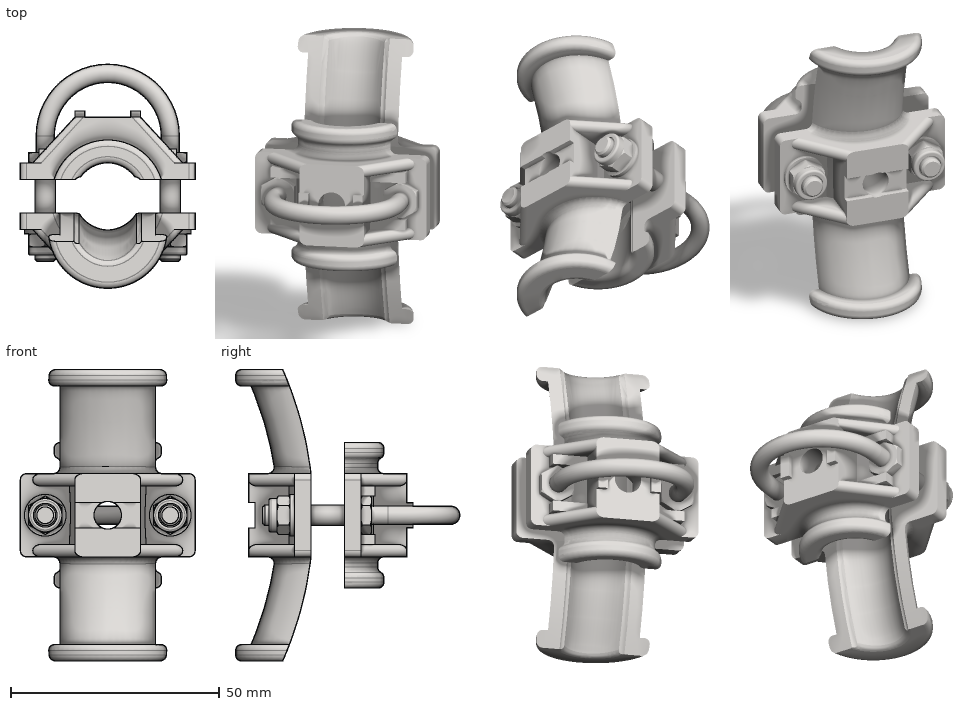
import cadquery as cq
import math

plate_width = 42.0
plate_thickness = 4.0
body_height = 20.0
half_height = body_height / 2
plate_corner_radius = 1.5
half_gap = 4.0
plate_back = half_gap + plate_thickness
body_back = 19.0
flank_foot = 18.0
core_half_width = 7.87
rib_thickness = 3.0
rib_round = rib_thickness / 2
pocket_half_height = half_height - rib_thickness
cross_hole_diameter = 6.6
nut_pocket_width = 10.0
nut_pocket_floor = 13.0

key_depth = 1.5
key_height = 6.0
groove_clearance = 0.1
pad_width = 2.4

bore_radius = 8.0
tube_radius = 12.0
hub_length = 35.0
hub_flange_radius = 13.5
hub_flange_thickness = 4.0
hub_blend = 1.5
mating_edge_round = 1.5

bend_radius = 90.0
tube_length = 70.0
end_flange_radius = 14.3
end_flange_thickness = 4.0
end_flange_center = -7.81
flange_edge_round = 1.5
trim_radius = math.hypot(bend_radius - half_gap, half_height)

bolt_spacing = 30.0
shank_radius = 2.2
thread_radius = 2.5
bow_center = 14.5
bolt_end = -15.6
bolt_end_chamfer = 0.5
nut_width = 8.0
nut_corner_diameter = nut_width / math.cos(math.pi / 6)
nut_chamfer_height = 0.3
nut_chamfer_depth = 0.45
jam_nut_height = 2.5
washer_radius = 5.0
washer_thickness = 1.0
lock_nut_height = 3.15
collar_radius = 4.0
collar_height = 2.0
collar_round = 0.5
collar_mouth_radius = 2.85
collar_mouth_depth = 0.5
shoulder_reach = 16.5
shoulder_height = 3.37
shoulder_slot_height = 9.2

FAR = 200.0


def block(x0, x1, y0, y1, z0, z1):
    """Box between two corners."""
    return cq.Workplane("XY").box(x1 - x0, y1 - y0, z1 - z0, centered=False).translate((x0, y0, z0))


def rod_y(radius, y0, y1, x=0.0):
    """Cylinder along Y from y0 to y1."""
    return cq.Workplane(cq.Plane((x, y0, 0), (1, 0, 0), (0, 1, 0))).circle(radius).extrude(y1 - y0)


def hexagon_y(x, y0, corner_diameter, length):
    """Hexagonal prism along Y with flats facing +X and -X."""
    plane = cq.Plane((x, y0, 0), (0, 0, 1), (0, 1, 0))
    return cq.Workplane(plane).polygon(6, corner_diameter).extrude(length)


def hex_nut(x, y0, height):
    """Hexagon along Y with chamfered corners, flats facing +X and -X."""
    hexagon = hexagon_y(x, y0, nut_corner_diameter, height)
    barrel = rod_y(nut_corner_diameter / 2, y0, y0 + height, x)
    barrel = barrel.faces("<Y or >Y").edges().chamfer(nut_chamfer_height, nut_chamfer_depth)
    return hexagon.intersect(barrel)


def flank_pocket():
    """Cutter between the ribs on the +X flank; it also rounds the inner rib edges."""
    run = flank_foot - core_half_width
    rise = body_back - plate_back
    flank_length = math.hypot(run, rise)
    along = (-run / flank_length, rise / flank_length, 0)
    outward = (rise / flank_length, run / flank_length, 0)
    start = (flank_foot - along[0] * flank_length, plate_back - along[1] * flank_length, 0)
    rib_middle = half_height - rib_round
    mid = rib_round * math.sqrt(0.5)
    profile = (
        cq.Workplane(cq.Plane(start, outward, along))
        .moveTo(-flank_length, -pocket_half_height)
        .lineTo(-rib_round, -pocket_half_height)
        .threePointArc((-rib_round + mid, -rib_middle + mid), (0, -rib_middle))
        .lineTo(flank_length, -rib_middle)
        .lineTo(flank_length, rib_middle)
        .lineTo(0, rib_middle)
        .threePointArc((-rib_round + mid, rib_middle - mid), (-rib_round, pocket_half_height))
        .lineTo(-flank_length, pocket_half_height)
        .close()
        .extrude(3 * flank_length)
    )
    limits = block(core_half_width, FAR, plate_back, FAR, -FAR, FAR)
    return profile.intersect(limits)


def clamp_body(inner_face):
    """Plate and ribbed trapezoid on the +Y side, starting at Y = inner_face."""
    plate = block(-plate_width / 2, plate_width / 2, inner_face, plate_back, -half_height, half_height)
    plate = plate.edges("|Y").fillet(plate_corner_radius)
    outline = [
        (-flank_foot, plate_back),
        (flank_foot, plate_back),
        (core_half_width, body_back),
        (-core_half_width, body_back),
    ]
    trapezoid = (
        cq.Workplane("XY")
        .polyline(outline)
        .close()
        .extrude(half_height, both=True)
    )
    trapezoid = trapezoid.edges("not(|Z or |X)").fillet(rib_round)
    pocket = flank_pocket()
    trapezoid = trapezoid.cut(pocket).cut(pocket.mirror("YZ"))
    return plate.union(trapezoid)


def upper_hub():
    """Short flanged sleeve around the Z axis, blended into the body ends."""
    rim = hub_flange_radius - tube_radius
    rim_bottom = hub_length / 2 - hub_flange_thickness + rim
    neck_drop = math.sqrt(3) * rim
    profile = (
        cq.Workplane("XZ")
        .lineTo(hub_flange_radius, 0)
        .lineTo(hub_flange_radius, half_height)
        .radiusArc((tube_radius, half_height + hub_blend), hub_blend)
        .lineTo(tube_radius, rim_bottom - neck_drop)
        .radiusArc((tube_radius + rim / 2, rim_bottom - neck_drop / 2), rim)
        .radiusArc((hub_flange_radius, rim_bottom), -rim)
        .lineTo(hub_flange_radius, hub_length / 2 - rim)
        .radiusArc((tube_radius, hub_length / 2), -rim)
        .lineTo(0, hub_length / 2)
        .close()
        .revolve(360, (0, 0, 0), (0, 1, 0))
    )
    return profile.union(profile.mirror("XY"))


def bore_edge_flare(face_height):
    """Section across the bore that rounds both bore edges on a mating face at Y = face_height."""
    reach = bore_radius + mating_edge_round
    center_y = face_height + mating_edge_round
    center_x = math.sqrt(reach**2 - center_y**2)
    bore_x = center_x * bore_radius / reach
    bore_y = center_y * bore_radius / reach
    return (
        cq.Workplane("XY")
        .moveTo(-center_x, 0)
        .lineTo(-center_x, face_height)
        .radiusArc((-bore_x, bore_y), mating_edge_round)
        .lineTo(bore_x, bore_y)
        .radiusArc((center_x, face_height), mating_edge_round)
        .lineTo(center_x, 0)
        .close()
    )


def upper_clamp():
    """Body on the +Y side with its hub, nut shoulders and key pads."""
    body = clamp_body(half_gap)
    shoulders = block(-shoulder_reach, shoulder_reach, plate_back, plate_back + shoulder_height,
                      -pocket_half_height, pocket_half_height)
    slot_half = shoulder_slot_height / 2
    for x0, x1 in ((-FAR, -core_half_width), (core_half_width, FAR)):
        shoulders = shoulders.cut(block(x0, x1, plate_back, FAR, -slot_half, slot_half))
    body = body.union(shoulders)
    bore = cq.Workplane("XY").circle(bore_radius).extrude(FAR, both=True)
    hub = upper_hub().cut(bore).faces("<Z or >Z")
    hub = hub.edges(cq.selectors.RadiusNthSelector(0)).fillet(hub_blend)
    hub = hub.intersect(block(-FAR, FAR, half_gap, FAR, -FAR, FAR))
    body = body.cut(bore).union(hub)
    body = body.cut(bore_edge_flare(half_gap).extrude(FAR, both=True))
    for x0 in (-core_half_width, core_half_width - pad_width):
        body = body.union(block(x0, x0 + pad_width, body_back, body_back + key_depth,
                                -key_height / 2, key_height / 2))
    pocket = hexagon_y(0, 0, nut_pocket_width / math.cos(math.pi / 6), nut_pocket_floor)
    return body.cut(pocket).cut(rod_y(cross_hole_diameter / 2, 0, FAR))


def bent_bar(radius):
    """Round bar along Z, bent to an arc whose centre lies on the -Y side."""
    return (
        cq.Workplane("XY")
        .circle(radius)
        .revolve(360, (0, -bend_radius, 0), (1, -bend_radius, 0))
        .intersect(block(-FAR, FAR, -bend_radius / 2, FAR, -FAR, FAR))
    )


def lower_clamp():
    """Body on the -Y side with the bent half tube and its end flanges."""
    body = clamp_body(-2 * tube_radius).mirror("XZ")
    half_length = tube_length / 2
    flange_start = half_length - end_flange_thickness
    tube_reach = half_length - end_flange_thickness / 2
    tube = bent_bar(tube_radius).intersect(block(-FAR, FAR, -FAR, FAR, -tube_reach, tube_reach))
    body = body.union(tube)
    ring = 2 * tube_radius + hub_blend
    for side in (-1, 1):
        z = side * half_height
        around = cq.selectors.BoxSelector((-ring / 2, -ring, z - 0.1), (ring / 2, ring / 2, z + 0.1))
        joint = body.edges(around).edges("not(%LINE)")
        body = joint.fillet(hub_blend)
    for start in (-half_length, flange_start):
        flange = (
            cq.Workplane("XY", origin=(0, end_flange_center, start))
            .circle(end_flange_radius)
            .extrude(end_flange_thickness)
            .faces("<Z or >Z")
            .edges()
            .fillet(flange_edge_round)
        )
        body = body.union(flange)
    body = body.cut(bent_bar(bore_radius))
    for end in ("<Z", ">Z"):
        mouth = body.faces(end).edges("not(%CIRCLE)")
        body = mouth.fillet(flange_edge_round)
    trim = (
        cq.Workplane("YZ", origin=(0, -bend_radius, 0))
        .circle(trim_radius)
        .extrude(FAR, both=True)
        .intersect(block(-FAR, FAR, -bend_radius, -half_gap, -FAR, FAR))
    )
    body = body.intersect(trim)
    flare = bore_edge_flare(bend_radius - trim_radius)
    flare = flare.revolve(360, (0, bend_radius, 0), (1, bend_radius, 0)).mirror("XZ")
    body = body.cut(flare.intersect(block(-FAR, FAR, -bend_radius / 2, 0, -FAR, FAR)))
    groove = key_height / 2 + groove_clearance / 2
    body = body.cut(block(-FAR, FAR, -FAR, -body_back + key_depth, -groove, groove).intersect(
        block(-core_half_width, core_half_width, -body_back, FAR, -FAR, FAR)))
    return body.cut(rod_y(cross_hole_diameter / 2, -FAR, 0))


def u_bolt():
    """Bow on the +Y side with two legs running through both plates."""
    bow = (
        cq.Workplane("XZ", origin=(0, bow_center, 0))
        .center(bolt_spacing / 2, 0)
        .circle(shank_radius)
        .revolve(180, (-bolt_spacing / 2, 0, 0), (-bolt_spacing / 2, 1, 0))
    )
    if bow.val().Center().y < bow_center:
        bow = bow.mirror("XZ", (0, bow_center, 0))
    for x in (-bolt_spacing / 2, bolt_spacing / 2):
        thread = rod_y(thread_radius, bolt_end, plate_back, x).faces("<Y").edges().chamfer(bolt_end_chamfer)
        bow = bow.union(rod_y(shank_radius, plate_back, bow_center, x)).union(thread)
    return bow


def fasteners(x):
    """Jam nut on the upper plate; washer and collared lock nut under the lower plate."""
    jam_nut = hex_nut(x, plate_back, jam_nut_height)
    washer_face = -plate_back - washer_thickness
    nut_face = washer_face - lock_nut_height
    collar_face = nut_face - collar_height
    washer = rod_y(washer_radius, washer_face, -plate_back, x)
    lock_nut = hex_nut(x, nut_face, lock_nut_height)
    collar = rod_y(collar_radius, collar_face, nut_face, x).faces("<Y").edges().fillet(collar_round)
    collar = collar.cut(rod_y(collar_mouth_radius, collar_face, collar_face + collar_mouth_depth, x))
    return jam_nut.union(washer).union(lock_nut).union(collar)


result = upper_clamp().union(lower_clamp())
for bolt_x in (-bolt_spacing / 2, bolt_spacing / 2):
    result = result.union(fasteners(bolt_x))
result = result.union(u_bolt())